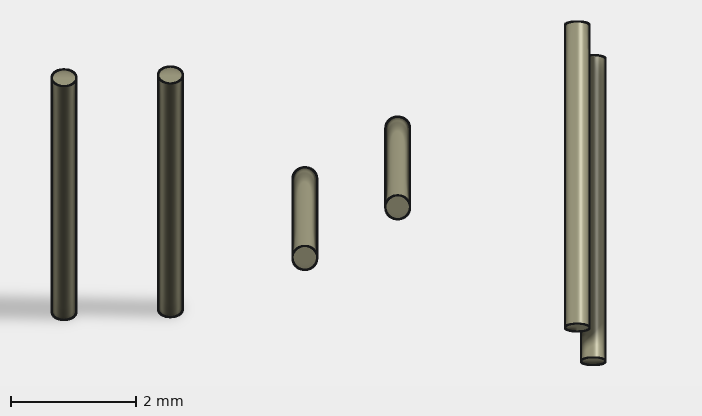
import cadquery as cq

pin_length = 5.1
pin_diameter = 0.4
pin_spacing = 1.205


def make_pin(x, y):
    """Plain round pin standing on the XY plane, along Z."""
    return (
        cq.Workplane("XY")
        .center(x, y)
        .circle(pin_diameter / 2)
        .extrude(pin_length)
    )


pins = []
for side in (-1, 1):
    offset = side * pin_spacing / 2
    pins.append(make_pin(offset, offset).val())

result = cq.Compound.makeCompound(pins)